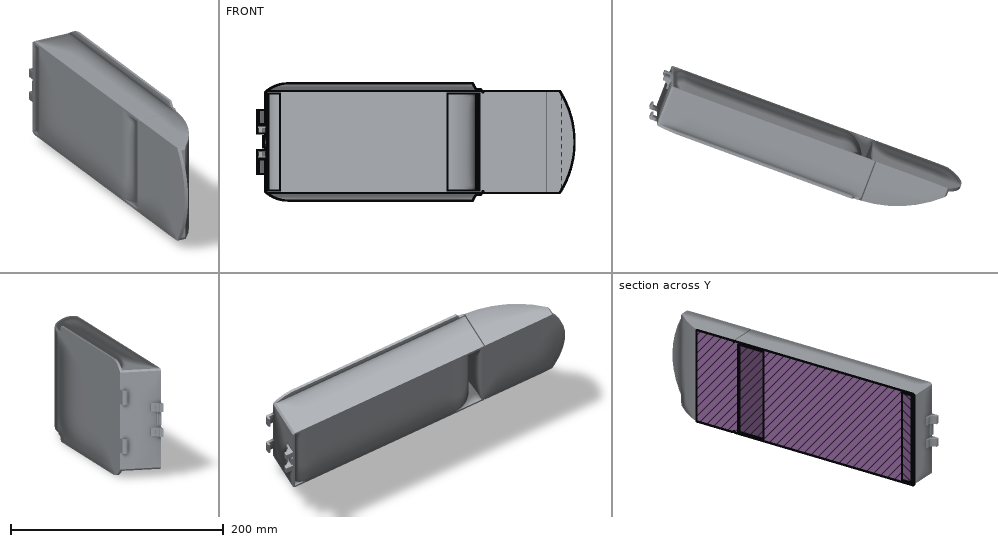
import cadquery as cq
import math


depth = 40.0
box_half_height = 48.0
flange_half_height = 55.2
flange_thickness = 2.5
hook_reach = 7.5
tip_x = 298.5 - hook_reach

end_half_height = 46.3
corner_length = 22.5
flange_end_x = 195.3
step_start_x = 198.3
step_end_x = 202.8
step_half_height = 50.0
box_length = 205.2

nose_end_x = 279.0
nose_end_y = 7.8
nose_mid_x = 245.8
nose_mid_y = 30.2
lip_corner_x = 277.0
lip_thickness = 3.5
ramp_start_x = 264.5
ramp_rise = 0.5

pocket_half_height = 45.5
pocket_depth = 31.5
left_pocket_x = (1.8, 14.3)
right_pocket_x = (171.7, 201.5)
straight_wall_depth = 8.7
wall_draft = 1.8

left_guide_radius = 13.5
left_guide_foot_x = 3.3
right_guide_foot_x = 198.5

hook_z = (16.5, 30.2)
hook_thickness = 2.0
hook_drop = 5.0
hook_tip_chamfer = 1.0
hook_tip_slope = 1.8
lug_z = (7.8, 15.8)
lug_nose_height = 3.5
lug_nose_flat = 1.8
lug_heel_reach = 1.8
lug_heel_y = 6.3
lug_height = 10.2
tab_half_height = 5.5
tab_reach = 1.8
tab_ridge_width = 1.0
tab_groove_count = 2
tab_groove_depth = 1.0


def slab(x_range, y_range, z_range):
    """Rectangular block between the given limits."""
    size = [high - low for low, high in (x_range, y_range, z_range)]
    corner = (x_range[0], y_range[0], z_range[0])
    return cq.Workplane("XY").box(*size, centered=False).translate(corner)


def prism(profile, z_range):
    """Closed profile in the XY plane, extruded between two heights."""
    return profile.extrude(z_range[1] - z_range[0]).translate((0, 0, z_range[0]))


def symmetric(half_height):
    return (-half_height, half_height)


def plan_outline(thickness):
    """Flange outline with arced left corners and stepped right ends, extruded rearward from Y = 0."""
    corner_drop = flange_half_height - end_half_height
    radius = (corner_length**2 + corner_drop**2) / (2 * corner_drop)
    half_sweep = math.asin(corner_length / radius) / 2
    arc_x = corner_length - radius * math.sin(half_sweep)
    arc_z = flange_half_height - radius * (1 - math.cos(half_sweep))
    upper = (
        cq.Workplane("XZ")
        .moveTo(0, 0)
        .lineTo(0, end_half_height)
        .threePointArc((arc_x, arc_z), (corner_length, flange_half_height))
        .lineTo(flange_end_x, flange_half_height)
        .lineTo(step_start_x, step_half_height)
        .lineTo(step_end_x, step_half_height)
        .lineTo(box_length, end_half_height)
        .lineTo(box_length, 0)
        .close()
        .extrude(-thickness)
    )
    return upper.union(upper.mirror("XY"))


def make_box():
    """Box trimmed by the flange outline, with the flange along its rear face."""
    block = slab((0, box_length), (0, depth), symmetric(box_half_height))
    flange = plan_outline(flange_thickness).translate((0, depth - flange_thickness, 0))
    return plan_outline(depth).intersect(block).union(flange)


def make_nose():
    """Nose whose rear face curves down to a thin lip with an arced end."""
    profile = (
        cq.Workplane("XY")
        .moveTo(box_length, 0)
        .lineTo(ramp_start_x, 0)
        .lineTo(tip_x, ramp_rise)
        .lineTo(tip_x, lip_thickness + ramp_rise)
        .lineTo(nose_end_x, lip_thickness)
        .lineTo(nose_end_x, nose_end_y)
        .threePointArc((nose_mid_x, nose_mid_y), (box_length, depth))
        .close()
    )
    plan = (
        cq.Workplane("XZ")
        .moveTo(box_length, -box_half_height)
        .lineTo(lip_corner_x, -box_half_height)
        .threePointArc((tip_x, 0), (lip_corner_x, box_half_height))
        .lineTo(box_length, box_half_height)
        .close()
        .extrude(-depth)
    )
    return prism(profile, symmetric(box_half_height)).intersect(plan)


def make_left_pocket():
    return slab(left_pocket_x, (0, pocket_depth), symmetric(pocket_half_height))


def make_right_pocket():
    """Pocket whose right wall is straight near the front and drafted below."""
    left, right = right_pocket_x
    profile = (
        cq.Workplane("XY")
        .polyline([
            (left, 0),
            (right, 0),
            (right, straight_wall_depth),
            (right - wall_draft, pocket_depth),
            (left, pocket_depth),
        ])
        .close()
    )
    return prism(profile, symmetric(pocket_half_height))


def make_hook(z_range):
    """L-shaped hook, flush with the rear face, with a chamfered tip."""
    tip_y = depth - hook_drop
    profile = (
        cq.Workplane("XY")
        .polyline([
            (0, depth),
            (-hook_reach, depth),
            (-hook_reach, tip_y + hook_tip_slope),
            (-hook_reach + hook_tip_chamfer, tip_y),
            (-hook_reach + hook_thickness, tip_y),
            (-hook_reach + hook_thickness, depth - flange_thickness),
            (0, depth - flange_thickness),
        ])
        .close()
    )
    return prism(profile, z_range)


def make_lug(z_range):
    """Lug with a blunt nose, a sloped back and a thin heel along the end face."""
    profile = (
        cq.Workplane("XY")
        .polyline([
            (0, 0),
            (-hook_reach, 0),
            (-hook_reach, lug_nose_height),
            (-hook_reach + lug_nose_flat, lug_nose_height),
            (-lug_heel_reach, lug_heel_y),
            (-lug_heel_reach, lug_height),
            (0, lug_height),
        ])
        .close()
    )
    return prism(profile, z_range)


def make_tab():
    """Small centre tab with fine grooves along Z on its outer face."""
    tab_depth = (2 * tab_groove_count + 1) * tab_ridge_width
    tab = slab((-tab_reach, 0), (0, tab_depth), symmetric(tab_half_height))
    for index in range(tab_groove_count):
        groove_y = (2 * index + 1) * tab_ridge_width
        groove = slab(
            (-tab_reach, -tab_reach + tab_groove_depth),
            (groove_y, groove_y + tab_ridge_width),
            symmetric(tab_half_height),
        )
        tab = tab.cut(groove)
    return tab


def make_housing():
    body = make_box().union(make_nose())
    body = body.cut(make_left_pocket()).cut(make_right_pocket())
    for feature in (make_hook(hook_z), make_lug(lug_z)):
        body = body.union(feature).union(feature.mirror("XY"))
    return body.union(make_tab()).clean()


def make_guide(wall_x, radius, sweep, side):
    """Guide against the pocket wall at wall_x; its face curves from the front edge into the pocket
    and then drops straight to the pocket floor.

    side is -1 when the face curves toward -X and +1 when it curves toward +X.
    """
    def arc_point(angle):
        return (wall_x + side * radius * math.sin(angle), radius * (1 - math.cos(angle)))

    foot_x = arc_point(sweep)[0]
    profile = (
        cq.Workplane("XY")
        .moveTo(wall_x, 0)
        .threePointArc(arc_point(sweep / 2), arc_point(sweep))
        .lineTo(foot_x, pocket_depth)
        .lineTo(wall_x, pocket_depth)
        .close()
    )
    return prism(profile, symmetric(pocket_half_height))


housing = make_housing()
left_guide_angle = math.asin((left_pocket_x[1] - left_guide_foot_x) / left_guide_radius)
right_guide_radius = right_guide_foot_x - right_pocket_x[0]
guide_settings = [
    (left_pocket_x[1], left_guide_radius, left_guide_angle, -1),
    (right_pocket_x[0], right_guide_radius, math.pi / 2, 1),
]
guides = [make_guide(*settings).val() for settings in guide_settings]

result = cq.Compound.makeCompound([housing.val(), *guides])